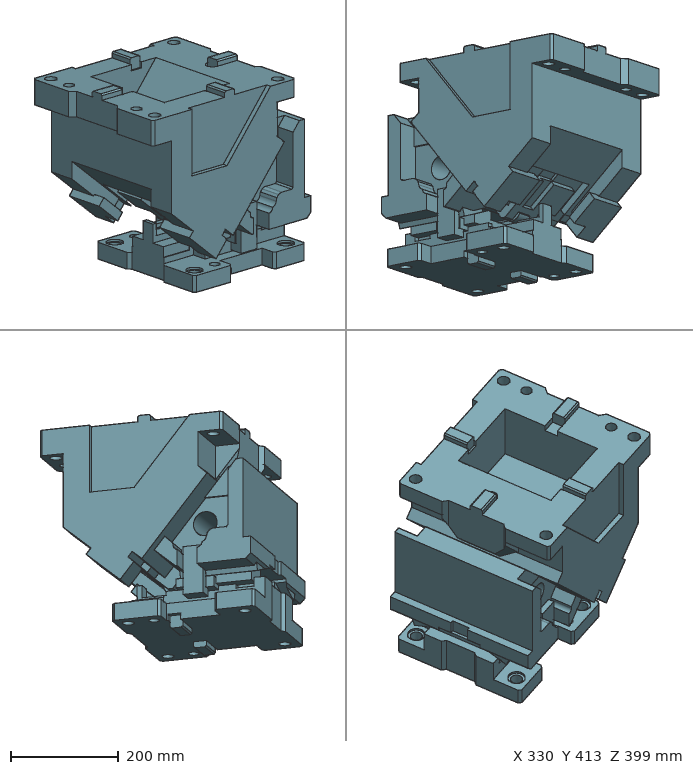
import cadquery as cq
import math


WIDTH = 330.0
DEPTH = 413.0
TOP_Z = 375.0
HALF_WIDTH = WIDTH / 2
CORNER_CHAMFER = 5.0

NOSE_ANGLE = math.radians(40)
GUIDE_Y = 202.0
GUIDE_Z = 104.5

KEY_LENGTH = 50.0
KEY_HEIGHT = 12.0
SIDE_KEY_WIDTH = 25.0
END_KEY_WIDTH = 27.0
KEY_CHAMFER = 3.0

PLATE_LENGTH = 360.0
PLATE_BOTTOM_Z = 325.0
REAR_PLATE_BOTTOM_Z = 340.0
HANGER_FRONT_Y = 46.5
REAR_WALL_Y = 313.0
GUIDE_LENGTH = 200.7
OUTER_SLOPE_OUT = 40.5
LOBE_OUT = 55.5
LOBE_FRONT_ALONG = 97.0
LOBE_REAR_ALONG = 9.5
LOBE_INNER_X = 83.0
LOBE_STEP_X = 116.5
LOBE_STEP_ALONG = 35.5
LOBE_TOP_OUT = 36.8
SIDE_SLOT_ALONG = 24.8
BELLY_HALF_WIDTH = 108.5
BELLY_OUT = 14.0
NOSE_SLOT_HALF_WIDTH = 98.0
NOSE_SLOT_ALONG = 100.5
RIDGE_HALF_WIDTH = 69.0
RIDGE_TIP_HALF_WIDTH = 41.5
RIDGE_TOP_ALONG = 24.5
RIDGE_TIP_ALONG = 4.0
RIDGE_START = 211.0
FRONT_NOTCH_HALF_WIDTH = 56.0
FRONT_NOTCH_DEPTH = 10.7
REAR_NOTCH_HALF_WIDTH = 60.5
REAR_NOTCH_DEPTH = 8.5
OPENING_WIDTH = 201.5
OPENING_FRONT_Y = 87.5
OPENING_REAR_Y = 251.0
OPENING_FLOOR_REAR_Y = 154.0
SIDE_POCKET_DEPTH = 10.5
SIDE_POCKET_FRONT_Y = 98.7
SIDE_POCKET_REAR_Y = 296.0
SIDE_POCKET_Z = 244.5
BOLT_X = 142.5
FRONT_BOLT_Y = 25.0
REAR_BOLT_Y = 335.0
BOLT_RADIUS = 11.5
DOWEL_X = 92.5
DOWEL_RADIUS = 10.5
SIDE_KEY_X = HALF_WIDTH - SIDE_POCKET_DEPTH - KEY_LENGTH / 2
SIDE_KEY_Y = 202.8
FRONT_KEY_Y = FRONT_NOTCH_DEPTH + KEY_LENGTH / 2
REAR_KEY_Y = PLATE_LENGTH - REAR_NOTCH_DEPTH - KEY_LENGTH / 2

V_ANGLE = math.radians(20)
V_CREST_X = 44.0
V_CREST_Z = 99.0
V_RELIEF_X = 45.0
V_RELIEF_Z = 105.0
CHANNEL_HALF_WIDTH = 37.5

SLIDE_TOP_Z = 284.0
SLIDE_BACK_Y = 395.5
FOOT_BACK_Y = 411.5
FOOT_TOP_Z = 130.5
FOOT_BOTTOM_Z = 88.5
FOOT_CHAMFER = 10.0
SLIDE_FRONT_OUT = -27.0
SLIDE_HALF_WIDTH = 150.5
CORE_HALF_WIDTH = 109.5
CORE_WAIST_HALF_WIDTH = 105.5
CORE_WAIST_Z = 228.5
WALL_FRONT_Y = 366.5
WALL_BEVEL_DEPTH = 16.0
WALL_BEVEL_HEIGHT = 19.0
WALL_FOOT_CHAMFER = 3.5
WING_FLOOR_Z = 154.0
WING_GAP = 2.5
WING_TIP_OUT = -59.0
SCALLOP_Z = 120.0
CROSS_HOLE_Y = 305.5
CROSS_HOLE_Z = 179.2
CROSS_HOLE_RADIUS = 23.0
V_RUNNER_X = 100.5
V_RUNNER_FRONT_Y = 255.2
V_RUNNER_BACK_Y = 407.0
V_RUNNER_TOP_Z = 95.5
V_RUNNER_THICKNESS = 6.5
BACK_NOTCH_HALF_WIDTH = 17.8
BACK_NOTCH_DEPTH = 6.0
KEEL_REAR_ALONG = -26.0
KEEL_Z = 82.5
NOSE_HALF_WIDTH = 79.5
NOSE_REAR_ALONG = 15.5
NOSE_ALONG = 76.5
NOSE_OUT = 13.0
PAD_HALF_WIDTH = 22.0
PAD_RISE = 5.5
NOSE_NOTCH_HALF_WIDTH = 15.5
NOSE_NOTCH_OUT = 3.5
NOSE_NOTCH_ALONG = 13.0
HOOK_FRONT_Y = 266.5
HOOK_BACK_Y = 305.5
HOOK_INNER_X = 102.0
HOOK_OUTER_X = 117.0
HOOK_TOE_X = 89.2
HOOK_TOP_Z = 135.0
HOOK_BOTTOM_Z = 42.0
HOOK_TOE_Z = 57.5
BUMPER_Y = 210.0
BUMPER_Z = 100.0
BUMPER_RADIUS = 20.2

FLANGE_HALF_WIDTH = 135.0
FLANGE_FRONT_Y = 132.0
FLANGE_HEIGHT = 33.0
FLANGE_NOTCH_DEPTH = 6.5
FLANGE_FRONT_NOTCH_X = 44.0
FLANGE_BACK_NOTCH_X = 31.0
SIDE_NOTCH_FRONT_Y = 227.5
SIDE_NOTCH_BACK_Y = 333.3
SIDE_NOTCH_X = 101.0
PEDESTAL_HALF_WIDTH = 75.5
PEDESTAL_FRONT_Y = 218.0
PEDESTAL_TOP_Z = 65.3
SEAT_FRONT_Y = 213.0
SEAT_Z = 57.5
REAR_STOP_Y = 390.5
REAR_STOP_Z = 74.5
V_BLOCK_FRONT_Y = 241.0
V_BLOCK_HALF_WIDTH = 87.5
V_BLOCK_BOTTOM_Z = 66.5
CHANNEL_FLOOR_Z = 82.0
POCKET_FRONT_Y = 355.0
POCKET_INNER_X = 64.5
LIP_HALF_WIDTH = 100.0
LIP_BACK_Y = 321.0
LIP_TOP_Z = 78.5
FRONT_BLOCK_SHOULDER_Z = 45.0
FRONT_BLOCK_HALF_WIDTH = 42.0
FRONT_BLOCK_BACK_Y = 203.0
FRONT_BLOCK_TOP_Z = 65.5
RIB_WIDTH = 27.0
RIB_TOP_Z = 103.0
RIB_TIP_DEPTH = 9.0
RIB_BACK_Z = 78.5
RIB_CHAMFER = 6.0
BASE_BOLT_X = 109.5
BASE_BOLT_FRONT_Y = 155.5
BASE_BOLT_BACK_Y = 385.7
BASE_BOLT_RADIUS = 11.0
BASE_BORE_RADIUS = 16.0
BASE_BORE_DEPTH = 4.0
BASE_DOWEL_Y = 206.5
BASE_DOWEL_RADIUS = 10.0
BASE_KEY_X = 65.0
BASE_KEY_Y = 243.3

FAR = 495.5


def guide(along, out):
    """(y, z) of a point given in the tilted frame at the guide corner."""
    y = GUIDE_Y - along * math.cos(NOSE_ANGLE) - out * math.sin(NOSE_ANGLE)
    z = GUIDE_Z + along * math.sin(NOSE_ANGLE) - out * math.cos(NOSE_ANGLE)
    return (y, z)


def guide_at_y(along, y):
    """Point at a given y on the plane that lies "along" from the guide plane."""
    out = (GUIDE_Y - y - along * math.cos(NOSE_ANGLE)) / math.sin(NOSE_ANGLE)
    return guide(along, out)


def slope_at_y(out, y):
    """Point at a given y on the 40 degree plane that lies "out" from the guide corner."""
    along = (GUIDE_Y - y - out * math.sin(NOSE_ANGLE)) / math.cos(NOSE_ANGLE)
    return guide(along, out)


def v_height(x):
    return V_CREST_Z - (x - V_CREST_X) * math.tan(V_ANGLE)


def box(x0, x1, y0, y1, z0, z1):
    return cq.Workplane("XY").box(x1 - x0, y1 - y0, z1 - z0, centered=False).translate((x0, y0, z0))


def across(points, x0, x1):
    """Prism from an outline of (y, z) points, between two x values."""
    return cq.Workplane("YZ", origin=(x0, 0, 0)).polyline(points).close().extrude(x1 - x0)


def tilted_box(half_width, along0, along1, out0, out1):
    corners = [guide(along0, out0), guide(along1, out0), guide(along1, out1), guide(along0, out1)]
    return across(corners, -half_width, half_width)


def lengthwise(points, y0, y1):
    """Prism from an outline of (x, z) points, between two y values."""
    return cq.Workplane("XZ", origin=(0, y0, 0)).polyline(points).close().extrude(y0 - y1)


def mirrored(points):
    """Closed symmetric outline from the points of its +X half."""
    return points + [(-x, other) for x, other in reversed(points)]


def both_sides(shape):
    return shape.union(shape.mirror("YZ"))


def edge_notch(half_width, depth, edge_y, inward):
    """Cutter for an end notch with 45 degree flanks; inward is +1 or -1 in y."""
    half = [(half_width, edge_y + inward * depth), (half_width + 2 * depth, edge_y - inward * depth)]
    return cq.Workplane("XY", origin=(0, 0, -FAR)).polyline(mirrored(half)).close().extrude(2 * FAR)


def upright_hole(x, y, radius, z0, z1):
    return cq.Workplane("XY", origin=(x, y, z0)).circle(radius).extrude(z1 - z0)


def side_key():
    """Key lying along X on z = 0, chamfered along its long top edges."""
    key = cq.Workplane("XY").box(KEY_LENGTH, SIDE_KEY_WIDTH, KEY_HEIGHT, centered=(True, True, False))
    return key.edges("|X and >Z").chamfer(KEY_CHAMFER)


def end_key():
    """Key lying along Y on z = 0, chamfered along its long top edges."""
    key = cq.Workplane("XY").box(END_KEY_WIDTH, KEY_LENGTH, KEY_HEIGHT, centered=(True, True, False))
    return key.edges("|Y and >Z").chamfer(KEY_CHAMFER)


def hanger_blank():
    outline = [
        (0, TOP_Z),
        (0, PLATE_BOTTOM_Z),
        (HANGER_FRONT_Y, PLATE_BOTTOM_Z),
        slope_at_y(OUTER_SLOPE_OUT, HANGER_FRONT_Y),
        guide(LOBE_FRONT_ALONG, OUTER_SLOPE_OUT),
        guide(LOBE_FRONT_ALONG, LOBE_OUT),
        guide(LOBE_REAR_ALONG, LOBE_OUT),
        guide(LOBE_REAR_ALONG, NOSE_OUT),
        guide(SIDE_SLOT_ALONG, NOSE_OUT),
        guide(SIDE_SLOT_ALONG, 0),
        guide(0, 0),
        guide(0, -GUIDE_LENGTH),
        slope_at_y(-GUIDE_LENGTH, REAR_WALL_Y),
        (REAR_WALL_Y, REAR_PLATE_BOTTOM_Z),
        (PLATE_LENGTH, REAR_PLATE_BOTTOM_Z),
        (PLATE_LENGTH, TOP_Z),
    ]
    return across(outline, -HALF_WIDTH, HALF_WIDTH)


def rear_ridge():
    """Block under the rear of the plate, with a flared ridge facing the guide plane."""
    wedge = across(
        [
            (REAR_WALL_Y, REAR_PLATE_BOTTOM_Z),
            (PLATE_LENGTH, REAR_PLATE_BOTTOM_Z),
            guide_at_y(RIDGE_TOP_ALONG, PLATE_LENGTH),
            guide_at_y(RIDGE_TOP_ALONG, REAR_WALL_Y),
        ],
        -RIDGE_HALF_WIDTH,
        RIDGE_HALF_WIDTH,
    )
    start_y, start_z = guide(0, -RIDGE_START)
    along = cq.Vector(0, -math.cos(NOSE_ANGLE), math.sin(NOSE_ANGLE))
    backward = cq.Vector(0, math.sin(NOSE_ANGLE), math.cos(NOSE_ANGLE))
    section_plane = cq.Plane((0, start_y, start_z), xDir=along.cross(backward), normal=backward)
    half = [(RIDGE_TIP_HALF_WIDTH, RIDGE_TIP_ALONG), (RIDGE_HALF_WIDTH, RIDGE_TOP_ALONG)]
    ridge = cq.Workplane(section_plane).polyline(mirrored(half)).close().extrude(FAR)
    room = box(-HALF_WIDTH, HALF_WIDTH, REAR_WALL_Y, PLATE_LENGTH, 0, REAR_PLATE_BOTTOM_Z)
    return wedge.union(ridge.intersect(room))


def slide_clearance():
    """Everything removed from the sloping underside so that the slide's nose can pass."""
    belly = tilted_box(BELLY_HALF_WIDTH, LOBE_STEP_ALONG, FAR, BELLY_OUT, LOBE_TOP_OUT)
    belly = belly.union(tilted_box(BELLY_HALF_WIDTH, LOBE_FRONT_ALONG, FAR, BELLY_OUT, LOBE_OUT))
    nose_slot = tilted_box(NOSE_SLOT_HALF_WIDTH, 0, NOSE_SLOT_ALONG, 0, BELLY_OUT)
    pad_groove = tilted_box(PAD_HALF_WIDTH, 0, NOSE_SLOT_ALONG, -PAD_RISE, 0)
    between_lobes = tilted_box(LOBE_INNER_X, 0, FAR, BELLY_OUT, FAR)
    lobe_steps = tilted_box(LOBE_STEP_X, 0, LOBE_STEP_ALONG, BELLY_OUT, FAR)
    lower = belly.union(between_lobes).union(lobe_steps)
    below_plate = box(-FAR, FAR, -FAR, FAR, -FAR, PLATE_BOTTOM_Z)
    return lower.intersect(below_plate).union(nose_slot).union(pad_groove)


def top_opening():
    floor_z = TOP_Z - (OPENING_REAR_Y - OPENING_FLOOR_REAR_Y) / math.tan(NOSE_ANGLE)
    outline = [
        (OPENING_FRONT_Y, TOP_Z),
        (OPENING_REAR_Y, TOP_Z),
        (OPENING_FLOOR_REAR_Y, floor_z),
        (OPENING_FRONT_Y, floor_z),
    ]
    return across(outline, -OPENING_WIDTH / 2, OPENING_WIDTH / 2)


def side_pockets():
    floor_rear_y = SIDE_POCKET_REAR_Y - (TOP_Z - SIDE_POCKET_Z) * math.tan(NOSE_ANGLE)
    outline = [
        (SIDE_POCKET_FRONT_Y, TOP_Z),
        (SIDE_POCKET_REAR_Y, TOP_Z),
        (floor_rear_y, SIDE_POCKET_Z),
        (SIDE_POCKET_FRONT_Y, SIDE_POCKET_Z),
    ]
    return both_sides(across(outline, HALF_WIDTH - SIDE_POCKET_DEPTH, HALF_WIDTH))


def plate_keyways():
    """Grooves, as deep as the keys stand proud, that run on from the inner ends of the keys."""
    groove_z = TOP_Z - KEY_HEIGHT
    half_end = END_KEY_WIDTH / 2
    half_side = SIDE_KEY_WIDTH / 2
    side = both_sides(
        box(0, SIDE_KEY_X - KEY_LENGTH / 2, SIDE_KEY_Y - half_side, SIDE_KEY_Y + half_side, groove_z, TOP_Z)
    )
    front_end = FRONT_KEY_Y + KEY_LENGTH / 2
    front = box(-half_end, half_end, front_end, OPENING_FRONT_Y, groove_z, TOP_Z)
    rear_end = REAR_KEY_Y - KEY_LENGTH / 2
    round_end = upright_hole(0, rear_end, half_end, groove_z, TOP_Z)
    rear = round_end.intersect(box(-FAR, FAR, 0, rear_end, 0, FAR))
    return side.union(front).union(rear)


def build_hanger():
    body = hanger_blank().union(rear_ridge())
    body = body.edges("|Z and (<X or >X) and (<Y or >Y)").chamfer(CORNER_CHAMFER)
    body = body.cut(edge_notch(FRONT_NOTCH_HALF_WIDTH, FRONT_NOTCH_DEPTH, 0, 1))
    body = body.cut(edge_notch(REAR_NOTCH_HALF_WIDTH, REAR_NOTCH_DEPTH, PLATE_LENGTH, -1))
    body = body.cut(slide_clearance())
    body = body.cut(top_opening()).cut(side_pockets()).cut(plate_keyways())
    for side in (-1, 1):
        for bolt_y in (FRONT_BOLT_Y, REAR_BOLT_Y):
            body = body.cut(upright_hole(side * BOLT_X, bolt_y, BOLT_RADIUS, PLATE_BOTTOM_Z, TOP_Z))
        body = body.cut(upright_hole(side * DOWEL_X, FRONT_BOLT_Y, DOWEL_RADIUS, PLATE_BOTTOM_Z, TOP_Z))
        body = body.union(side_key().translate((side * SIDE_KEY_X, SIDE_KEY_Y, TOP_Z)))
    for key_y in (FRONT_KEY_Y, REAR_KEY_Y):
        body = body.union(end_key().translate((0, key_y, TOP_Z)))
    return body


def slide_front_low():
    """Point where the slide's front slope meets the underside of the foot."""
    rise = FOOT_BOTTOM_Z - GUIDE_Z + SLIDE_FRONT_OUT * math.cos(NOSE_ANGLE)
    return guide(rise / math.sin(NOSE_ANGLE), SLIDE_FRONT_OUT)


def slide_core():
    """Central wedge under the guide plane, a little narrower in its lower part."""
    outline = [
        (SLIDE_BACK_Y, SLIDE_TOP_Z),
        guide(0, (GUIDE_Z - SLIDE_TOP_Z) / math.cos(NOSE_ANGLE)),
        guide(0, SLIDE_FRONT_OUT),
        slide_front_low(),
        (SLIDE_BACK_Y, FOOT_BOTTOM_Z),
    ]
    core = across(outline, -CORE_HALF_WIDTH, CORE_HALF_WIDTH)
    return core.cut(both_sides(box(CORE_WAIST_HALF_WIDTH, FAR, 0, FAR, 0, CORE_WAIST_Z)))


def slide_wings():
    """Full-width rear wall and foot; the foot's top edge is scalloped around the hooks."""
    outline = (
        cq.Workplane("YZ", origin=(-SLIDE_HALF_WIDTH, 0, 0))
        .moveTo(SLIDE_BACK_Y, SLIDE_TOP_Z)
        .lineTo(WALL_FRONT_Y + WALL_BEVEL_DEPTH, SLIDE_TOP_Z)
        .lineTo(WALL_FRONT_Y, SLIDE_TOP_Z - WALL_BEVEL_HEIGHT)
        .lineTo(WALL_FRONT_Y, WING_FLOOR_Z + WALL_FOOT_CHAMFER)
        .lineTo(WALL_FRONT_Y - WALL_FOOT_CHAMFER, WING_FLOOR_Z)
        .lineTo(338.0, WING_FLOOR_Z)
        .threePointArc((333.5, 153.2), (330.0, 151.0))
        .lineTo(325.5, 146.0)
        .lineTo(323.8, 139.5)
        .threePointArc((321.0, 133.5), (315.0, 129.5))
        .threePointArc((312.2, 123.0), (HOOK_BACK_Y, SCALLOP_Z))
        .lineTo(HOOK_FRONT_Y, SCALLOP_Z)
        .threePointArc((261.0, 122.5), (258.5, 128.0))
        .lineTo(258.5, 132.5)
        .lineTo(*guide(-WING_GAP, WING_TIP_OUT))
        .lineTo(*guide(-WING_GAP, SLIDE_FRONT_OUT))
        .lineTo(*slide_front_low())
        .lineTo(FOOT_BACK_Y - FOOT_CHAMFER, FOOT_BOTTOM_Z)
        .lineTo(FOOT_BACK_Y, FOOT_BOTTOM_Z + FOOT_CHAMFER)
        .lineTo(FOOT_BACK_Y, FOOT_TOP_Z)
        .lineTo(SLIDE_BACK_Y, FOOT_TOP_Z)
        .close()
    )
    return outline.extrude(2 * SLIDE_HALF_WIDTH)


def v_runner():
    """Rails under the slide whose sloping undersides ride on the driver's V block."""
    top_x = V_RUNNER_X + (V_RUNNER_TOP_Z - v_height(V_RUNNER_X)) * math.tan(V_ANGLE)
    half = [
        (V_RELIEF_X, V_RUNNER_TOP_Z),
        (V_RUNNER_X, v_height(V_RUNNER_X)),
        (top_x, V_RUNNER_TOP_Z),
    ]
    return both_sides(lengthwise(half, V_RUNNER_FRONT_Y, V_RUNNER_BACK_Y))


def v_groove():
    """Space below the runners, which widens by their thickness in front of them."""
    half = [
        (V_RUNNER_X, 0),
        (V_RUNNER_X, v_height(V_RUNNER_X)),
        (V_RELIEF_X, v_height(V_RELIEF_X)),
        (V_RELIEF_X, V_RELIEF_Z),
    ]
    groove = lengthwise(mirrored(half), GUIDE_Y, FAR)
    front_edge = [
        (V_RUNNER_X, 0),
        (V_RUNNER_X, v_height(V_RUNNER_X) + V_RUNNER_THICKNESS),
        (V_RELIEF_X, v_height(V_RELIEF_X) + V_RUNNER_THICKNESS),
    ]
    return groove.union(lengthwise(mirrored(front_edge), GUIDE_Y, V_RUNNER_FRONT_Y))


def nose():
    """Thin plate reaching forward under the hanger from a central keel."""
    keel = tilted_box(CHANNEL_HALF_WIDTH, KEEL_REAR_ALONG, 0, SLIDE_FRONT_OUT, NOSE_OUT)
    keel = keel.union(tilted_box(CHANNEL_HALF_WIDTH, 0, NOSE_ALONG, 0, NOSE_OUT))
    plate = tilted_box(NOSE_HALF_WIDTH, NOSE_REAR_ALONG, NOSE_ALONG, 0, NOSE_OUT)
    pad = tilted_box(PAD_HALF_WIDTH, 0, NOSE_ALONG, -PAD_RISE, 0)
    notch = tilted_box(NOSE_NOTCH_HALF_WIDTH, NOSE_NOTCH_ALONG, FAR, NOSE_NOTCH_OUT, FAR)
    below_keel = box(-FAR, FAR, 0, FAR, 0, KEEL_Z)
    bumper = (
        cq.Workplane("YZ", origin=(-NOSE_NOTCH_HALF_WIDTH, 0, 0))
        .center(BUMPER_Y, BUMPER_Z)
        .circle(BUMPER_RADIUS)
        .extrude(2 * NOSE_NOTCH_HALF_WIDTH)
        .intersect(tilted_box(FAR, -FAR, 0, -FAR, FAR))
    )
    return keel.union(plate).union(pad).cut(notch).cut(below_keel).union(bumper)


def return_hooks():
    bar = box(HOOK_INNER_X, HOOK_OUTER_X, HOOK_FRONT_Y, HOOK_BACK_Y, HOOK_BOTTOM_Z, HOOK_TOP_Z)
    toe = box(HOOK_TOE_X, HOOK_OUTER_X, HOOK_FRONT_Y, HOOK_BACK_Y, HOOK_BOTTOM_Z, HOOK_TOE_Z)
    return both_sides(bar.union(toe))


def build_slide():
    hook_slots = both_sides(box(HOOK_OUTER_X, FAR, HOOK_FRONT_Y, HOOK_BACK_Y, 0, FAR))
    back_notch = box(
        -BACK_NOTCH_HALF_WIDTH, BACK_NOTCH_HALF_WIDTH, FOOT_BACK_Y - BACK_NOTCH_DEPTH, FAR, 0, FAR
    )
    cross_hole = (
        cq.Workplane("YZ", origin=(-FAR, 0, 0))
        .center(CROSS_HOLE_Y, CROSS_HOLE_Z)
        .circle(CROSS_HOLE_RADIUS)
        .extrude(2 * FAR)
    )
    wings = slide_wings().cut(hook_slots).cut(back_notch)
    body = slide_core().union(wings).union(v_runner()).cut(v_groove())
    return body.union(nose()).union(return_hooks()).cut(cross_hole)


def flange():
    plate = box(-FLANGE_HALF_WIDTH, FLANGE_HALF_WIDTH, FLANGE_FRONT_Y, DEPTH, 0, FLANGE_HEIGHT)
    plate = plate.edges("|Z").chamfer(CORNER_CHAMFER)
    plate = plate.cut(edge_notch(FLANGE_FRONT_NOTCH_X, FLANGE_NOTCH_DEPTH, FLANGE_FRONT_Y, 1))
    plate = plate.cut(edge_notch(FLANGE_BACK_NOTCH_X, FLANGE_NOTCH_DEPTH, DEPTH, -1))
    side_notch = box(SIDE_NOTCH_X, FAR, SIDE_NOTCH_FRONT_Y, SIDE_NOTCH_BACK_Y, 0, FLANGE_HEIGHT)
    plate = plate.cut(both_sides(side_notch))
    mouth_x = FLANGE_HALF_WIDTH - CORNER_CHAMFER
    mouth = (
        cq.Workplane("XY")
        .polyline([
            (mouth_x, SIDE_NOTCH_FRONT_Y),
            (FLANGE_HALF_WIDTH, SIDE_NOTCH_FRONT_Y - CORNER_CHAMFER),
            (FLANGE_HALF_WIDTH, SIDE_NOTCH_BACK_Y + CORNER_CHAMFER),
            (mouth_x, SIDE_NOTCH_BACK_Y),
        ])
        .close()
        .extrude(FLANGE_HEIGHT)
    )
    return plate.cut(both_sides(mouth))


def flange_holes():
    holes = cq.Workplane("XY")
    for side in (-1, 1):
        x = side * BASE_BOLT_X
        bore_z = FLANGE_HEIGHT - BASE_BORE_DEPTH
        for y in (BASE_BOLT_FRONT_Y, BASE_BOLT_BACK_Y):
            holes = holes.add(upright_hole(x, y, BASE_BOLT_RADIUS, 0, FLANGE_HEIGHT))
            holes = holes.add(upright_hole(x, y, BASE_BORE_RADIUS, bore_z, FLANGE_HEIGHT))
        holes = holes.add(upright_hole(x, BASE_DOWEL_Y, BASE_DOWEL_RADIUS, 0, FLANGE_HEIGHT))
    return holes.combine()


def pedestal():
    half = PEDESTAL_HALF_WIDTH
    body = box(-half, half, PEDESTAL_FRONT_Y, DEPTH, 0, PEDESTAL_TOP_Z)
    body = body.union(box(-half, half, SEAT_FRONT_Y, DEPTH, 0, SEAT_Z))
    body = body.union(box(-half, half, REAR_STOP_Y, DEPTH, 0, REAR_STOP_Z))
    pockets = both_sides(box(POCKET_INNER_X, half, POCKET_FRONT_Y, REAR_STOP_Y, SEAT_Z, PEDESTAL_TOP_Z))
    front_seat = box(-POCKET_INNER_X, POCKET_INNER_X, SEAT_FRONT_Y, V_BLOCK_FRONT_Y, SEAT_Z, FAR)
    back_notch = edge_notch(FLANGE_BACK_NOTCH_X, FLANGE_NOTCH_DEPTH, DEPTH, -1)
    return body.cut(pockets).cut(front_seat).cut(back_notch)


def v_block():
    half = [
        (POCKET_INNER_X, SEAT_Z),
        (POCKET_INNER_X, V_BLOCK_BOTTOM_Z),
        (V_BLOCK_HALF_WIDTH, V_BLOCK_BOTTOM_Z),
        (V_BLOCK_HALF_WIDTH, v_height(V_BLOCK_HALF_WIDTH)),
        (V_CREST_X, V_CREST_Z),
        (CHANNEL_HALF_WIDTH, V_CREST_Z),
        (CHANNEL_HALF_WIDTH, CHANNEL_FLOOR_Z),
    ]
    return lengthwise(mirrored(half), V_BLOCK_FRONT_Y, REAR_STOP_Y)


def retaining_lips():
    """Ledges over the toes of the slide's hooks."""
    return both_sides(box(POCKET_INNER_X, LIP_HALF_WIDTH, HOOK_FRONT_Y, LIP_BACK_Y, SEAT_Z, LIP_TOP_Z))


def front_block():
    front_y = FLANGE_FRONT_Y + FLANGE_NOTCH_DEPTH
    wide = FLANGE_FRONT_NOTCH_X
    narrow = FRONT_BLOCK_HALF_WIDTH
    body = box(-wide, wide, front_y, SEAT_FRONT_Y, 0, FRONT_BLOCK_SHOULDER_Z)
    body = body.union(box(-wide, wide, FRONT_BLOCK_BACK_Y, SEAT_FRONT_Y, 0, SEAT_Z))
    body = body.union(box(-narrow, narrow, front_y, FRONT_BLOCK_BACK_Y, 0, FRONT_BLOCK_TOP_Z))
    rib = [
        (front_y, 0),
        (front_y, RIB_TOP_Z),
        (front_y + RIB_TIP_DEPTH, RIB_TOP_Z),
        (front_y + RIB_TIP_DEPTH, RIB_BACK_Z),
        (FRONT_BLOCK_BACK_Y - RIB_CHAMFER, RIB_BACK_Z),
        (FRONT_BLOCK_BACK_Y, RIB_BACK_Z - RIB_CHAMFER),
        (FRONT_BLOCK_BACK_Y, 0),
    ]
    return body.union(across(rib, -RIB_WIDTH / 2, RIB_WIDTH / 2))


def build_driver():
    body = flange().union(pedestal()).union(v_block()).union(retaining_lips()).union(front_block())
    body = body.cut(flange_holes())
    half_key = SIDE_KEY_WIDTH / 2
    keyway = box(BASE_KEY_X, FAR, BASE_KEY_Y - half_key, BASE_KEY_Y + half_key, 0, KEY_HEIGHT)
    body = body.cut(both_sides(keyway))
    hanging_key = side_key().mirror("XY")
    seated_key = box(-KEY_LENGTH / 2, KEY_LENGTH / 2, -half_key, half_key, 0, KEY_HEIGHT)
    for side in (-1, 1):
        place = (side * BASE_KEY_X, BASE_KEY_Y, 0)
        body = body.union(hanging_key.translate(place)).union(seated_key.translate(place))
    return body


hanger = build_hanger().solids().val()
slide = build_slide().solids().val()
driver = build_driver().solids().val()

result = cq.Compound.makeCompound([hanger, slide, driver])